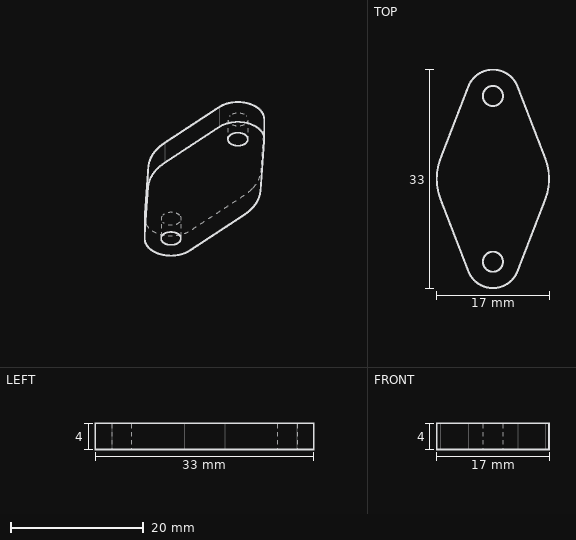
import cadquery as cq
import math

length = 33.0
width = 17.0
thickness = 4.0
end_radius = 4.0
hole_diameter = 3.0

middle_radius = width / 2
hole_offset = length / 2 - end_radius

tangent_angle = math.asin((middle_radius - end_radius) / hole_offset)
middle_x = middle_radius * math.cos(tangent_angle)
middle_y = middle_radius * math.sin(tangent_angle)
end_x = end_radius * math.cos(tangent_angle)
end_y = hole_offset + end_radius * math.sin(tangent_angle)


def make_plate():
    """Lozenge plate with rounded ends and sides, its base on Z = 0."""
    return (
        cq.Workplane("XY")
        .moveTo(middle_x, -middle_y)
        .threePointArc((middle_radius, 0), (middle_x, middle_y))
        .lineTo(end_x, end_y)
        .threePointArc((0, length / 2), (-end_x, end_y))
        .lineTo(-middle_x, middle_y)
        .threePointArc((-middle_radius, 0), (-middle_x, -middle_y))
        .lineTo(-end_x, -end_y)
        .threePointArc((0, -length / 2), (end_x, -end_y))
        .close()
        .extrude(thickness)
    )


def drill_mounting_holes(plate):
    """Drill one through hole at each rounded end."""
    return (
        plate.faces(">Z")
        .workplane(origin=(0, 0, thickness))
        .pushPoints([(0, -hole_offset), (0, hole_offset)])
        .hole(hole_diameter)
    )


result = drill_mounting_holes(make_plate())